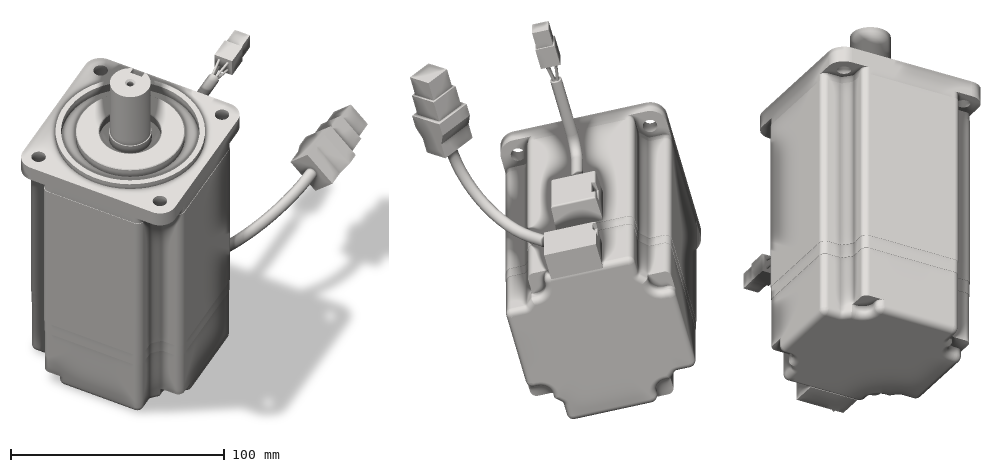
import cadquery as cq
import math

TOTAL_HEIGHT = 173.3
FLANGE_SIDE = 80.0
FLANGE_CORNER_RADIUS = 8.0
FLANGE_BOTTOM = 130
FLANGE_TOP = 138.0
MOUNT_HOLE_SPACING = 63.8
MOUNT_HOLE_DIAMETER = 6.8
PILOT_TOP = 141.0
PILOT_RADIUS = 35.0
GROOVE_OUTER_RADIUS = 32.4
GROOVE_INNER_RADIUS = 25.5
GROOVE_DEPTH = 4.7
BOSS_CHAMFER = 0.3
BORE_RADIUS = 14.5
BORE_DEPTH = 4.7
COLLAR_RADIUS = 10.0
SHAFT_RADIUS = 9.5
KEYWAY_WIDTH = 6.0
KEYWAY_FLOOR_Y = 5.9
KEYWAY_LENGTH = 24.1
CENTRE_HOLE_RADIUS = 1.5
CENTRE_HOLE_MOUTH_RADIUS = 2.5
CENTRE_HOLE_DEPTH = 13.9

STATOR_TOP = 126.3
STATOR_BOTTOM = 38.6
COVER_TOP = 31.9
HOUSING_HALF = FLANGE_SIDE / 2
STATOR_HALF = HOUSING_HALF + 0.2
COVER_HALF = HOUSING_HALF - 0.2
RECESS_WALL = 25.8
RECESS_WALL_END = 29.8
RECESS_INNER_RADIUS = 1.7
HOUSING_EDGE_RADIUS = 3.1
COVER_BOTTOM_RADIUS = 3.0

POCKET_HEIGHT = 6.0
POCKET_WALL_X = 17.8
POCKET_BACK = 29.1
POCKET_INNER_RADIUS = 5.9
POCKET_LIP_RADIUS = 3.3

CABLE_Y = 45.4
CABLE_RADIUS = 2.8

OUTLET_TOP = 65.5
OUTLET_BOTTOM = 39.9
OUTLET_SLOPE = 1.0
OUTLET_FACE = 52.7
OUTLET_HALF_WIDTH = 10.7
OUTLET_FOOT_HALF_WIDTH = 11.5
OUTLET_EDGE_RADIUS = 0.9
SEAT_RADIUS = 4.5
SEAT_DEPTH = 0.5
WINDOW_BOTTOM = 46.3
WINDOW_TOP = 54.6
WINDOW_INNER_Y = 48.0
WINDOW_DEPTH = 1.7
POWER_BEND_RADIUS = 9.7
POWER_CABLE_Z = 99.0
POWER_CABLE_END = 85.5
POWER_PLUG_START = 95.5
POWER_PLUG_STEP = 106.2
POWER_PLUG_END = 115.0
POWER_PLUG_SIDE = 9.4
POWER_NOSE_SIDE = 8.0
WIRE_RADIUS = 0.6
WIRE_OFFSET_AT_CABLE = 0.9
WIRE_OFFSET_AT_PLUG = 2.3

SOCKET_LEFT = -10.7
SOCKET_RIGHT = 14.2
SOCKET_FACE = 51.6
SOCKET_TOP = 20.6
LATCH_TOP = 19.4
LATCH_SLOPE_TOP = 14.7
LATCH_BOTTOM = 11.8
LATCH_INNER_Y = 48.4
LATCH_DEPTH = 1.7
SIGNAL_PLUG_X = 51.0
SIGNAL_PLUG_Z = 58.7
SIGNAL_BEND_RADIUS = 41.0
SIGNAL_LEAD_IN = 15.6
CABLE_SLANT = 45
SIGNAL_PLUG_START = CABLE_Y + SIGNAL_BEND_RADIUS
SIGNAL_TAPER_START = 94.3
SIGNAL_TAPER_END = 100.0
SIGNAL_COLLAR_END = 106.4
SIGNAL_NECK_END = 117.2
SIGNAL_PLUG_END = 127.0
SIGNAL_COLLAR_SIDE = 18.63
SIGNAL_TAIL_THICKNESS = 12.7
SIGNAL_NECK_SIDE = 14.9
SIGNAL_NOSE_SIDE = 12.7

BURIED = 1.7


def block(x_range, y_range, z_range):
    """Box given by its limits along each axis."""
    lows, highs = zip(x_range, y_range, z_range)
    size = [high - low for low, high in zip(lows, highs)]
    return cq.Workplane("XY").box(*size, centered=False).translate(lows)


def cylinder(radius, bottom, top):
    return cq.Workplane("XY").workplane(offset=bottom).circle(radius).extrude(top - bottom)


def housing_section(half, bottom, top):
    """Square prism with a bevelled recess along each corner and rounded recess edges.

    The recess walls step in or out together with the sides.
    """
    step = half - HOUSING_HALF
    wall = RECESS_WALL + step
    wall_end = RECESS_WALL_END + step
    corner = [(half, wall), (wall_end, wall), (wall, wall_end), (wall, half)]
    points = []
    for turn in range(4):
        for x, y in corner:
            for _ in range(turn):
                x, y = -y, x
            points.append((x, y))
    prism = cq.Workplane("XY").workplane(offset=bottom).polyline(points).close().extrude(top - bottom)
    reach = math.hypot(wall, wall_end) + BURIED

    def is_inner(edge):
        return math.hypot(edge.Center().x, edge.Center().y) < reach

    prism = prism.edges("|Z").filter(lambda edge: not is_inner(edge)).fillet(HOUSING_EDGE_RADIUS)
    return prism.edges("|Z").filter(is_inner).fillet(RECESS_INNER_RADIUS)


def screw_pocket():
    """Pocket in the -Y face of the cover, opening into the corner recess at -X."""
    wall = -POCKET_WALL_X
    back = -POCKET_BACK
    sine = math.sin(math.radians(45))
    inner_x = wall - POCKET_INNER_RADIUS
    inner_y = back - POCKET_INNER_RADIUS
    lip_x = wall + POCKET_LIP_RADIUS
    lip_y = -COVER_HALF + POCKET_LIP_RADIUS
    return (
        cq.Workplane("XY")
        .moveTo(-RECESS_WALL_END, back)
        .lineTo(inner_x, back)
        .threePointArc(
            (inner_x + POCKET_INNER_RADIUS * sine, inner_y + POCKET_INNER_RADIUS * sine),
            (wall, inner_y),
        )
        .lineTo(wall, lip_y)
        .threePointArc(
            (lip_x - POCKET_LIP_RADIUS * sine, lip_y - POCKET_LIP_RADIUS * sine),
            (lip_x, -COVER_HALF),
        )
        .lineTo(lip_x, -COVER_HALF - BURIED)
        .lineTo(-RECESS_WALL_END, -COVER_HALF - BURIED)
        .close()
        .extrude(POCKET_HEIGHT)
    )


def rear_cover():
    cover = housing_section(COVER_HALF, 0, COVER_TOP)
    for turn in range(4):
        cover = cover.cut(screw_pocket().rotate((0, 0, 0), (0, 0, 1), 90 * turn))
    return cover.faces("<Z").edges().fillet(COVER_BOTTOM_RADIUS)


def housing():
    cap = housing_section(HOUSING_HALF, STATOR_TOP, FLANGE_BOTTOM)
    stator = housing_section(STATOR_HALF, STATOR_BOTTOM, STATOR_TOP)
    band = housing_section(HOUSING_HALF, COVER_TOP, STATOR_BOTTOM)
    return cap.union(stator).union(band).union(rear_cover())


def flange():
    plate = (
        cq.Workplane("XY")
        .workplane(offset=FLANGE_BOTTOM)
        .rect(FLANGE_SIDE, FLANGE_SIDE)
        .extrude(FLANGE_TOP - FLANGE_BOTTOM)
        .edges("|Z")
        .fillet(FLANGE_CORNER_RADIUS)
    )
    pilot = cylinder(PILOT_RADIUS, FLANGE_BOTTOM, PILOT_TOP)
    recess = cylinder(GROOVE_OUTER_RADIUS, PILOT_TOP - GROOVE_DEPTH, PILOT_TOP)
    boss = (
        cylinder(GROOVE_INNER_RADIUS, FLANGE_BOTTOM, PILOT_TOP)
        .cut(cylinder(BORE_RADIUS, PILOT_TOP - BORE_DEPTH, PILOT_TOP))
        .faces(">Z")
        .edges()
        .chamfer(BOSS_CHAMFER)
    )
    holes = (
        cq.Workplane("XY")
        .workplane(offset=FLANGE_BOTTOM)
        .rect(MOUNT_HOLE_SPACING, MOUNT_HOLE_SPACING, forConstruction=True)
        .vertices()
        .circle(MOUNT_HOLE_DIAMETER / 2)
        .extrude(FLANGE_TOP - FLANGE_BOTTOM)
    )
    return plate.union(pilot).cut(recess).union(boss).cut(holes)


def shaft():
    """Stepped shaft with a round-ended keyway on +Y and a countersunk centre hole."""
    collar = cylinder(COLLAR_RADIUS, FLANGE_BOTTOM, PILOT_TOP)
    body = collar.union(cylinder(SHAFT_RADIUS, FLANGE_BOTTOM, TOTAL_HEIGHT))
    half_key = KEYWAY_WIDTH / 2
    keyway_bottom = TOTAL_HEIGHT - KEYWAY_LENGTH
    keyway = (
        cq.Workplane("XZ", origin=(0, KEYWAY_FLOOR_Y, 0))
        .moveTo(-half_key, TOTAL_HEIGHT)
        .lineTo(-half_key, keyway_bottom + half_key)
        .threePointArc((0, keyway_bottom), (half_key, keyway_bottom + half_key))
        .lineTo(half_key, TOTAL_HEIGHT)
        .close()
        .extrude(-SHAFT_RADIUS)
    )
    centre_hole = cylinder(CENTRE_HOLE_RADIUS, TOTAL_HEIGHT - CENTRE_HOLE_DEPTH, TOTAL_HEIGHT)
    chamfer = CENTRE_HOLE_MOUTH_RADIUS - CENTRE_HOLE_RADIUS
    countersink = cylinder(CENTRE_HOLE_MOUTH_RADIUS, TOTAL_HEIGHT - chamfer, TOTAL_HEIGHT)
    countersink = countersink.faces("<Z").edges().chamfer(chamfer * 0.999)
    return body.cut(keyway).cut(centre_hole).cut(countersink)


def upper_outlet():
    """Cable outlet box with drafted sides, a cable seat on top and a window in its -X side."""
    root = COVER_HALF - BURIED
    plan = (
        cq.Workplane("XY")
        .workplane(offset=OUTLET_BOTTOM)
        .polyline([
            (-OUTLET_FOOT_HALF_WIDTH, root),
            (OUTLET_FOOT_HALF_WIDTH, root),
            (OUTLET_HALF_WIDTH, OUTLET_FACE),
            (-OUTLET_HALF_WIDTH, OUTLET_FACE),
        ])
        .close()
        .extrude(OUTLET_TOP - OUTLET_BOTTOM)
    )
    underside = (
        cq.Workplane("YZ")
        .polyline([
            (root, OUTLET_BOTTOM),
            (OUTLET_FACE, OUTLET_BOTTOM),
            (OUTLET_FACE, OUTLET_BOTTOM + OUTLET_SLOPE),
        ])
        .close()
        .extrude(OUTLET_FOOT_HALF_WIDTH, both=True)
    )
    box = plan.cut(underside).edges(">Y or (>Z and (not <Y))").fillet(OUTLET_EDGE_RADIUS)
    seat = cylinder(SEAT_RADIUS, OUTLET_TOP - SEAT_DEPTH, OUTLET_TOP).translate((0, CABLE_Y, 0))
    seat = seat.union(
        block((-SEAT_RADIUS, SEAT_RADIUS), (STATOR_HALF, CABLE_Y), (OUTLET_TOP - SEAT_DEPTH, OUTLET_TOP))
    )
    window = block(
        (-OUTLET_FOOT_HALF_WIDTH, WINDOW_DEPTH - OUTLET_HALF_WIDTH),
        (WINDOW_INNER_Y, OUTLET_FACE),
        (WINDOW_BOTTOM, WINDOW_TOP),
    )
    return box.cut(seat).cut(window)


def power_cable():
    bend = POWER_BEND_RADIUS
    sine = math.sin(math.radians(45))
    path = (
        cq.Workplane("YZ")
        .moveTo(CABLE_Y, OUTLET_TOP - BURIED)
        .lineTo(CABLE_Y, POWER_CABLE_Z - bend)
        .threePointArc(
            (CABLE_Y + bend - bend * sine, POWER_CABLE_Z - bend + bend * sine),
            (CABLE_Y + bend, POWER_CABLE_Z),
        )
        .lineTo(POWER_CABLE_END, POWER_CABLE_Z)
    )
    start = cq.Workplane("XY", origin=(0, CABLE_Y, OUTLET_TOP - BURIED))
    return start.circle(CABLE_RADIUS).sweep(path)


def wire(x_sign, z_sign):
    """One thin wire fanning out from the cable end to the power plug."""
    start = cq.Vector(x_sign * WIRE_OFFSET_AT_CABLE, POWER_CABLE_END, POWER_CABLE_Z + z_sign * WIRE_OFFSET_AT_CABLE)
    end = cq.Vector(x_sign * WIRE_OFFSET_AT_PLUG, POWER_PLUG_START, POWER_CABLE_Z + z_sign * WIRE_OFFSET_AT_PLUG)
    direction = (end - start).normalized()
    length = (end - start).Length + BURIED
    return cq.Workplane(cq.Solid.makeCylinder(WIRE_RADIUS, length, start - direction * (BURIED / 2), direction))


def power_plug():
    def tier(side, start, end):
        half = side / 2
        return block((-half, half), (start, end), (POWER_CABLE_Z - half, POWER_CABLE_Z + half))

    plug = tier(POWER_PLUG_SIDE, POWER_PLUG_START, POWER_PLUG_STEP)
    plug = plug.union(tier(POWER_NOSE_SIDE, POWER_PLUG_STEP, POWER_PLUG_END))
    for x_sign in (-1, 1):
        for z_sign in (-1, 1):
            plug = plug.union(wire(x_sign, z_sign))
    return plug


def lower_outlet():
    """Cable socket at the rear cover with a latch recess in its outer -X corner."""
    box = block((SOCKET_LEFT, SOCKET_RIGHT), (COVER_HALF - BURIED, SOCKET_FACE), (0, SOCKET_TOP))
    box = box.edges("<X and >Z").fillet(SOCKET_TOP - LATCH_TOP)
    latch = (
        cq.Workplane("XZ", origin=(0, LATCH_INNER_Y, 0))
        .polyline([
            (SOCKET_LEFT, LATCH_TOP),
            (SOCKET_LEFT + LATCH_DEPTH, LATCH_TOP),
            (SOCKET_LEFT + LATCH_DEPTH, LATCH_SLOPE_TOP),
            (SOCKET_LEFT, LATCH_BOTTOM),
        ])
        .close()
        .extrude(LATCH_INNER_Y - SOCKET_FACE)
    )
    return box.cut(latch)


def signal_cable_and_plug():
    """Cable and plug laid out flat in XY about the plug axis, then tilted about that axis."""
    bend = SIGNAL_BEND_RADIUS
    sine = math.sin(math.radians(45))
    path = (
        cq.Workplane("XY")
        .moveTo(-bend - SIGNAL_LEAD_IN, CABLE_Y)
        .lineTo(-bend, CABLE_Y)
        .threePointArc((-bend + bend * sine, CABLE_Y + bend - bend * sine), (0, CABLE_Y + bend))
    )
    start = cq.Workplane("YZ", origin=(-bend - SIGNAL_LEAD_IN, CABLE_Y, 0))
    cable = start.circle(CABLE_RADIUS).sweep(path)

    tail = SIGNAL_TAIL_THICKNESS / 2
    collar = SIGNAL_COLLAR_SIDE / 2
    body = (
        cq.Workplane("XY")
        .polyline([
            (-tail, SIGNAL_PLUG_START),
            (tail, SIGNAL_PLUG_START),
            (tail, SIGNAL_TAPER_START),
            (collar, SIGNAL_TAPER_END),
            (collar, SIGNAL_COLLAR_END),
            (-collar, SIGNAL_COLLAR_END),
            (-collar, SIGNAL_TAPER_END),
            (-tail, SIGNAL_TAPER_START),
        ])
        .close()
        .extrude(collar, both=True)
    )
    neck = SIGNAL_NECK_SIDE / 2
    nose = SIGNAL_NOSE_SIDE / 2
    body = body.union(block((-neck, neck), (SIGNAL_COLLAR_END, SIGNAL_NECK_END), (-neck, neck)))
    body = body.union(block((-nose, nose), (SIGNAL_NECK_END, SIGNAL_PLUG_END), (-nose, nose)))
    flat = cable.union(body)
    return flat.rotate((0, 0, 0), (0, 1, 0), -CABLE_SLANT).translate((SIGNAL_PLUG_X, 0, SIGNAL_PLUG_Z))


result = housing().union(flange()).union(shaft())
for attachment in (
    upper_outlet(), power_cable(), power_plug(), lower_outlet(), signal_cable_and_plug(),
):
    result = result.union(attachment)